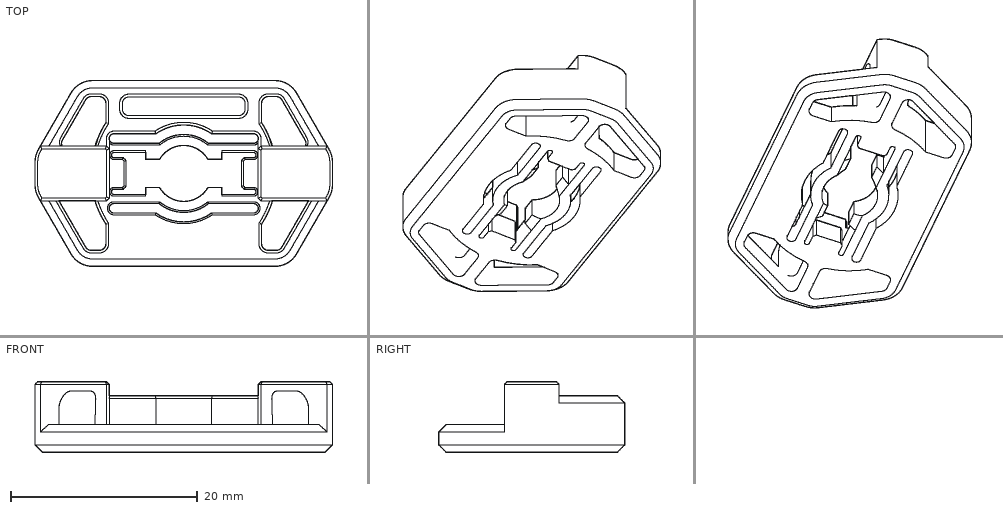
import cadquery as cq
import math

LENGTH = 32.0
WIDTH = 20.0
FRONT_HEIGHT = 3.0
BACK_HEIGHT = 6.1
BLOCK_HEIGHT = 7.6

TOLERANCE = 0.01

SIDE_ANGLE = math.radians(60)
SIDE_SLOPE = math.tan(SIDE_ANGLE)
TOP_CORNER_X = 11.35
OUTLINE_RADIUS = 2.7
OUTER_CHAMFER = 0.8

BLOCK_HALF_WIDTH = 2.95
BLOCK_INNER_X = 8.0
BLOCK_CHAMFER = 0.3

SLOT_HALF_LENGTH = BLOCK_INNER_X
SLOT_INNER_Y = 3.25
SLOT_WIDTH = 1.0
SLOT_OUTER_Y = SLOT_INNER_Y + SLOT_WIDTH
SLOT_END_RADIUS = 0.49
HUB_RADIUS = 4.2
BORE_RADIUS = 3.0
HUB_HALF_LENGTH = 4.1
HUB_INNER_Y = 1.5
FLOOR_CHAMFER = 0.2

WINDOW_HALF_LENGTH = 7.75
WINDOW_HALF_WIDTH = 2.25
WINDOW_END_RADIUS = 0.25
TAB_TIP_X = 6.2
TAB_HALF_WIDTH = 1.7
TAB_CORNER_CHAMFER = 0.3

POCKET_LENGTH = 13.2
POCKET_WIDTH = 2.0
POCKET_CENTER_Y = 7.22
POCKET_FLOOR_Z = 3.0
POCKET_RADIUS = 0.7
BACK_EDGE_CHAMFER = 0.3

LUG_CHAMFER = WINDOW_HALF_WIDTH - HUB_INNER_Y

OPENING_RIM = 1.75
OPENING_INNER_X = 8.38
OPENING_INNER_RADIUS = 10.0
OPENING_RADIUS = 0.7
OPENING_CHAMFER = 0.3
CHAMFER_ANGLE = 45
WEB_HALF_WIDTH = 0.7
CEILING_EXIT_Z = 6.57
CEILING_START_Z = 2.8
CEILING_RUN_PER_RISE = (BLOCK_HALF_WIDTH - WEB_HALF_WIDTH) / (CEILING_EXIT_Z - CEILING_START_Z)


def box(x0, x1, y0, y1, z0, z1):
    """Box spanning the given limits."""
    return cq.Workplane("XY").box(x1 - x0, y1 - y0, z1 - z0, centered=False).translate((x0, y0, z0))


def both_sides(solid, plane):
    """The solid joined with its mirror image."""
    return solid.union(solid.mirror(plane))


def outline_prism(height):
    """Rounded hexagonal prism with a chamfered bottom edge."""
    half_x = LENGTH / 2
    half_y = WIDTH / 2
    side_y = half_y - (half_x - TOP_CORNER_X) * SIDE_SLOPE
    corners = [
        (half_x, side_y),
        (TOP_CORNER_X, half_y),
        (-TOP_CORNER_X, half_y),
        (-half_x, side_y),
        (-half_x, -side_y),
        (-TOP_CORNER_X, -half_y),
        (TOP_CORNER_X, -half_y),
        (half_x, -side_y),
    ]
    prism = cq.Workplane("XY").polyline(corners).close().extrude(height)
    prism = prism.edges("|Z").fillet(OUTLINE_RADIUS)
    return prism.faces("<Z").edges().chamfer(OUTER_CHAMFER)


def plate(height):
    """Outline prism chamfered on its top edge as well."""
    return outline_prism(height).faces(">Z").edges().chamfer(OUTER_CHAMFER)


def inner_rim(z):
    """Selector for edges at height z that lie inside the outline, away from its border."""
    half_x = TOP_CORNER_X - OUTER_CHAMFER
    half_y = WIDTH / 2 - OUTER_CHAMFER
    return cq.selectors.BoxSelector((-half_x, -half_y, z - TOLERANCE), (half_x, half_y, z + TOLERANCE))


def slot_cutter():
    """Slot on the +Y side that curves around the hub."""
    straight = box(-SLOT_HALF_LENGTH, SLOT_HALF_LENGTH, SLOT_INNER_Y, SLOT_OUTER_Y, 0, FRONT_HEIGHT)
    straight = straight.edges("|Z").fillet(SLOT_END_RADIUS)
    outer_radius = HUB_RADIUS + SLOT_WIDTH
    disc = cq.Workplane("XY").circle(outer_radius).extrude(FRONT_HEIGHT)
    disc = disc.intersect(box(-outer_radius, outer_radius, SLOT_INNER_Y, outer_radius, 0, FRONT_HEIGHT))
    hub = cq.Workplane("XY").circle(HUB_RADIUS).extrude(FRONT_HEIGHT)
    return straight.union(disc).cut(hub)


def window_cutter():
    """Central window, leaving a tab at each end."""
    window = cq.Workplane("XY").rect(2 * WINDOW_HALF_LENGTH, 2 * WINDOW_HALF_WIDTH).extrude(FRONT_HEIGHT)
    tab = box(TAB_TIP_X, SLOT_HALF_LENGTH, -TAB_HALF_WIDTH, TAB_HALF_WIDTH, 0, FRONT_HEIGHT)
    tab = tab.edges("|Z and <X").chamfer(TAB_CORNER_CHAMFER)
    window = window.cut(both_sides(tab, "YZ"))
    return window.edges("|Z and (<X or >X)").fillet(WINDOW_END_RADIUS)


def hub_lug():
    """Lug on the +Y side of the bore, with a sloping underside."""
    lug_outer_y = (WINDOW_HALF_WIDTH + SLOT_INNER_Y) / 2
    lug = box(-HUB_HALF_LENGTH, HUB_HALF_LENGTH, HUB_INNER_Y, lug_outer_y, 0, FRONT_HEIGHT)
    return lug.edges("<Z and <Y").chamfer(LUG_CHAMFER)


def recess_cutter():
    """Space above the hub, bounded by the outer walls of the +Y slot."""
    half_y = SLOT_OUTER_Y
    space = box(-SLOT_HALF_LENGTH, SLOT_HALF_LENGTH, -half_y, half_y, 0, BACK_HEIGHT)
    space = space.edges("|Z").fillet(SLOT_END_RADIUS)
    bulge = cq.Workplane("XY").circle(HUB_RADIUS + SLOT_WIDTH).extrude(BACK_HEIGHT)
    return space.union(bulge)


def base():
    """Low plate with slots, window and hub, reaching +Y as far as the recess walls."""
    cutters = both_sides(slot_cutter(), "XZ").union(window_cutter())
    body = outline_prism(FRONT_HEIGHT).cut(cutters)
    body = body.faces(">Z").edges(inner_rim(FRONT_HEIGHT)).chamfer(FLOOR_CHAMFER)
    body = body.intersect(plate(FRONT_HEIGHT))
    bore = cq.Workplane("XY").circle(BORE_RADIUS).extrude(FRONT_HEIGHT)
    body = body.union(both_sides(hub_lug(), "XZ")).cut(bore)
    front_half = box(-LENGTH, LENGTH, -WIDTH, 0, 0, FRONT_HEIGHT)
    return body.intersect(front_half.union(recess_cutter()))


def raised_back():
    """Raised +Y half with the recess and the long pocket."""
    back = outline_prism(BACK_HEIGHT).cut(recess_cutter())
    pocket = (
        cq.Workplane("XY", origin=(0, POCKET_CENTER_Y, POCKET_FLOOR_Z))
        .rect(POCKET_LENGTH, POCKET_WIDTH)
        .extrude(BACK_HEIGHT - POCKET_FLOOR_Z)
        .edges("|Z")
        .fillet(POCKET_RADIUS)
    )
    back = back.cut(pocket)
    back = back.faces(">Z").edges(inner_rim(BACK_HEIGHT)).chamfer(BACK_EDGE_CHAMFER)
    half = box(-LENGTH, LENGTH, 0, WIDTH, 0, BACK_HEIGHT)
    return back.intersect(plate(BACK_HEIGHT)).intersect(half)


def end_block():
    """Tall block at the +X end."""
    span = box(BLOCK_INNER_X, LENGTH, -BLOCK_HALF_WIDTH, BLOCK_HALF_WIDTH, 0, BLOCK_HEIGHT)
    span = span.edges("|Z and <X").chamfer(BLOCK_CHAMFER)
    block = outline_prism(BLOCK_HEIGHT).intersect(span)
    return block.faces(">Z").edges().chamfer(BLOCK_CHAMFER)


def opening_end_y(z):
    """Distance from the XZ plane at which a corner opening ends at height z."""
    return WEB_HALF_WIDTH + max(0, z - CEILING_START_Z) * CEILING_RUN_PER_RISE


def opening_profile(end_y, z):
    """Rounded profile of the +X +Y corner opening at height z."""
    top_y = WIDTH / 2 - OPENING_RIM
    rim_line_x = TOP_CORNER_X + WIDTH / 2 / SIDE_SLOPE - OPENING_RIM / math.sin(SIDE_ANGLE)
    arc_end_y = math.sqrt(OPENING_INNER_RADIUS**2 - OPENING_INNER_X**2)
    arc_mid_y = (end_y + arc_end_y) / 2

    def on_arc(y):
        return (math.sqrt(OPENING_INNER_RADIUS**2 - y**2), y)

    wire = (
        cq.Workplane("XY")
        .moveTo(OPENING_INNER_X, top_y)
        .lineTo(rim_line_x - top_y / SIDE_SLOPE, top_y)
        .lineTo(rim_line_x - end_y / SIDE_SLOPE, end_y)
        .lineTo(*on_arc(end_y))
        .threePointArc(on_arc(arc_mid_y), (OPENING_INNER_X, arc_end_y))
        .close()
    )
    prism = wire.extrude(FRONT_HEIGHT)
    arc_start = cq.selectors.NearestToPointSelector((OPENING_INNER_X, arc_end_y, 0))
    sharp_edge = prism.edges("|Z").edges(arc_start).val()
    corners = [edge for edge in prism.edges("|Z").vals() if not edge.isSame(sharp_edge)]
    prism = prism.newObject(corners).fillet(OPENING_RADIUS)
    return prism.faces("<Z").wires().val().translate(cq.Vector(0, 0, z))


def opening_cutter():
    """Corner opening of the +X +Y corner: straight below, sloping ceiling above."""
    low = opening_profile(WEB_HALF_WIDTH, 0)
    start = opening_profile(WEB_HALF_WIDTH, CEILING_START_Z)
    end = opening_profile(opening_end_y(BLOCK_HEIGHT), BLOCK_HEIGHT)
    straight = cq.Solid.makeLoft([low, start], True)
    sloped = cq.Solid.makeLoft([start, end], True)
    return cq.Workplane("XY").add(straight).union(cq.Workplane("XY").add(sloped))


def opening_flare(top_z):
    """Chamfer around the rim of a corner opening at height top_z."""
    wire = opening_profile(opening_end_y(top_z), 0)
    flare = cq.Workplane("XY").add(wire).toPending().extrude(OPENING_CHAMFER, taper=-CHAMFER_ANGLE)
    return flare.translate((0, 0, top_z - OPENING_CHAMFER))


openings = both_sides(both_sides(opening_cutter(), "YZ"), "XZ")
front_flares = both_sides(opening_flare(FRONT_HEIGHT).mirror("XZ"), "YZ")
back_flares = both_sides(opening_flare(BACK_HEIGHT), "YZ")

front = base().cut(front_flares)
back = raised_back().cut(back_flares)
blocks = both_sides(end_block(), "YZ")
result = front.union(back).union(blocks).cut(openings)